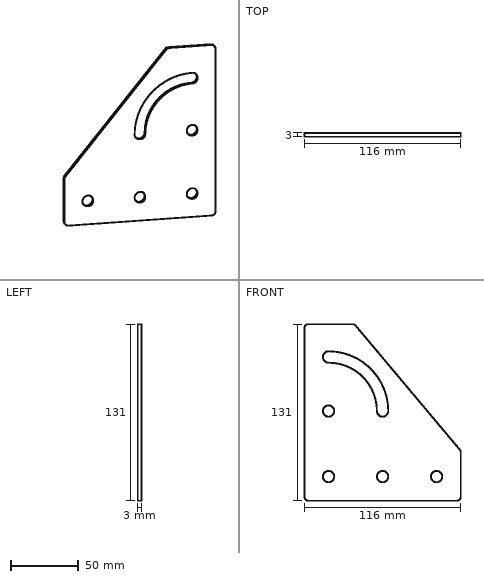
import cadquery as cq

width = 116.0
thickness = 3.0
height = 131.0
top_edge_length = 37.1
right_edge_height = 37.1
corner_radius = 3.0

hole_diameter = 8.3
edge_margin = 18.0
hole_pitch = (width - 2 * edge_margin) / 2
pivot_height = 66.5

slot_radius = hole_pitch
slot_width = hole_diameter


def front_plane(x=0, z=0):
    """Workplane on the front face, with its normal pointing toward -Y."""
    return cq.Workplane("XZ", origin=(x, 0, z))


def make_plate():
    outline = [
        (0, 0),
        (width, 0),
        (width, right_edge_height),
        (top_edge_length, height),
        (0, height),
    ]
    plate = front_plane().polyline(outline).close().extrude(-thickness)
    return plate.edges("|Y").fillet(corner_radius)


def make_holes():
    bottom_row = [(edge_margin + i * hole_pitch, edge_margin) for i in range(3)]
    pivot = (edge_margin, pivot_height)
    return front_plane().pushPoints(bottom_row + [pivot]).circle(hole_diameter / 2).extrude(-thickness)


def make_curved_slot():
    pivot_plane = front_plane(edge_margin, pivot_height)
    inner_radius = slot_radius - slot_width / 2
    outer_radius = slot_radius + slot_width / 2
    ring = pivot_plane.circle(outer_radius).circle(inner_radius).extrude(-thickness)
    quadrant = pivot_plane.rect(outer_radius, outer_radius, centered=False).extrude(-thickness)
    end_centres = [(slot_radius, 0), (0, slot_radius)]
    round_ends = pivot_plane.pushPoints(end_centres).circle(slot_width / 2).extrude(-thickness)
    return ring.intersect(quadrant).union(round_ends)


result = make_plate().cut(make_holes()).cut(make_curved_slot())